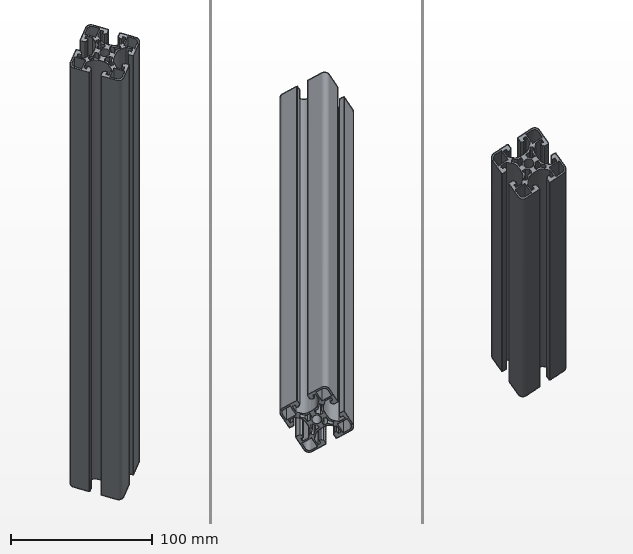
import cadquery as cq
import math

side = 40.0
length = 500.0
half = side / 2
corner_radius = 4.0

mouth_half = 4.1
mouth_chamfer_width = 0.5
mouth_chamfer_depth = 0.2
lip_inner = 17.4
hook_tip = 15.2
hook_shoulder = 16.4
hook_back = 7.3
hook_flat_end = 5.7
slot_half = 9.5
slot_floor = 7.8
floor_half = 4.8
floor_fillet = 6.2
groove_half = 2.1
groove_depth = 0.15
taper_top = slot_floor + slot_half - floor_half

outer_wall = 1.3
slot_wall = 1.1
hollow_inner = slot_half + slot_wall
hollow_outer = half - outer_wall
hollow_corner_radius = 3.1

bore_diameter = 6.8
bore_wall = 1.2
floor_wall = 1.3
core_hollow_outer = slot_floor - floor_wall
cross_rib_half = 2.0

channel_half_width = 1.1
channel_end_radius = 12.2


def slot_cutter():
    """T-slot open on the +Y side, with hooked lips and a V-grooved floor that curves into 45 degree flanks."""
    right_side = [
        (groove_half, slot_floor),
        (floor_half, slot_floor),
        (slot_half, taper_top),
        (slot_half, lip_inner),
        (hook_back, lip_inner),
        (hook_back, hook_tip),
        (hook_flat_end, hook_tip),
        (mouth_half, hook_shoulder),
        (mouth_half, half - mouth_chamfer_depth),
        (mouth_half + mouth_chamfer_width, half),
    ]
    left_side = [(-x, y) for x, y in reversed(right_side)]
    groove_bottom = (0, slot_floor - groove_depth)
    outline = [groove_bottom] + right_side + left_side
    cutter = cq.Workplane("XY").polyline(outline).close().extrude(length)
    for floor_end in (-floor_half, floor_half):
        floor_edge = cq.selectors.NearestToPointSelector((floor_end, slot_floor, length / 2))
        cutter = cutter.edges(floor_edge).fillet(floor_fillet)
    return cutter


def corner_hollow():
    """Square hollow in the +X +Y corner, rounded along its outermost edge."""
    size = hollow_outer - hollow_inner
    return (
        cq.Workplane("XY", origin=(hollow_inner, hollow_inner, 0))
        .rect(size, size, centered=False)
        .extrude(length)
        .edges("|Z and >X and >Y")
        .fillet(hollow_corner_radius)
    )


def core_hollow():
    """Hollow between the bore wall and the slot floors, running out along the +X +Y diagonal rib."""
    size = core_hollow_outer - cross_rib_half
    pocket = (
        cq.Workplane("XY", origin=(cross_rib_half, cross_rib_half, 0))
        .rect(size, size, centered=False)
        .extrude(length)
    )
    channel = (
        cq.Workplane("XY")
        .rect(channel_end_radius, 2 * channel_half_width, centered=(False, True))
        .extrude(length)
        .rotate((0, 0, 0), (0, 0, 1), 45)
    )
    bore_tube = cq.Workplane("XY").circle(bore_diameter / 2 + bore_wall).extrude(length)
    return pocket.union(channel).cut(bore_tube)


bar = cq.Workplane("XY").rect(side, side).extrude(length).edges("|Z").fillet(corner_radius)
for quarter in range(4):
    for cutter in (slot_cutter(), corner_hollow(), core_hollow()):
        bar = bar.cut(cutter.rotate((0, 0, 0), (0, 0, 1), 90 * quarter))

bore = cq.Workplane("XY").circle(bore_diameter / 2).extrude(length)
result = bar.cut(bore)